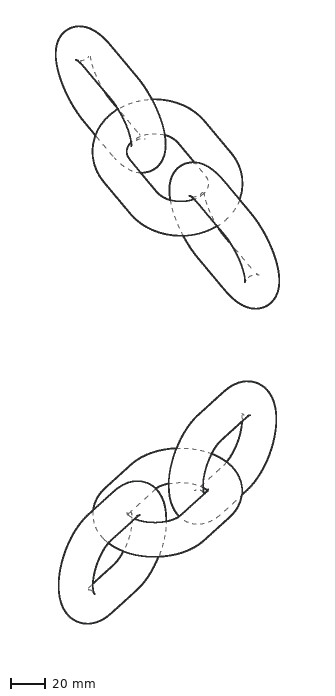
import cadquery as cq

chain_length = 219.9
link_width = 72.0
wire_diameter = 20.0
link_count = 3

joint_count = link_count - 1
link_length = (chain_length + joint_count * 2 * wire_diameter) / link_count
link_pitch = link_length - 2 * wire_diameter
bend_radius = (link_width - wire_diameter) / 2
straight_length = link_length - link_width


def make_link(center_x, roll_angle):
    """Round-wire oval link in the XZ plane, rolled about the X axis."""
    half_straight = straight_length / 2
    centerline = (
        cq.Workplane("XZ")
        .moveTo(0, bend_radius)
        .lineTo(half_straight, bend_radius)
        .threePointArc((half_straight + bend_radius, 0), (half_straight, -bend_radius))
        .lineTo(-half_straight, -bend_radius)
        .threePointArc((-half_straight - bend_radius, 0), (-half_straight, bend_radius))
        .close()
    )
    link = (
        cq.Workplane("YZ", origin=(0, 0, bend_radius))
        .circle(wire_diameter / 2)
        .sweep(centerline)
    )
    return link.rotate((0, 0, 0), (1, 0, 0), roll_angle).translate((center_x, 0, 0))


links = []
for index in range(link_count):
    link_x = (index - joint_count / 2) * link_pitch
    link_roll = 90 * (index % 2)
    links.append(make_link(link_x, link_roll))

result = cq.Compound.makeCompound([link.val() for link in links])